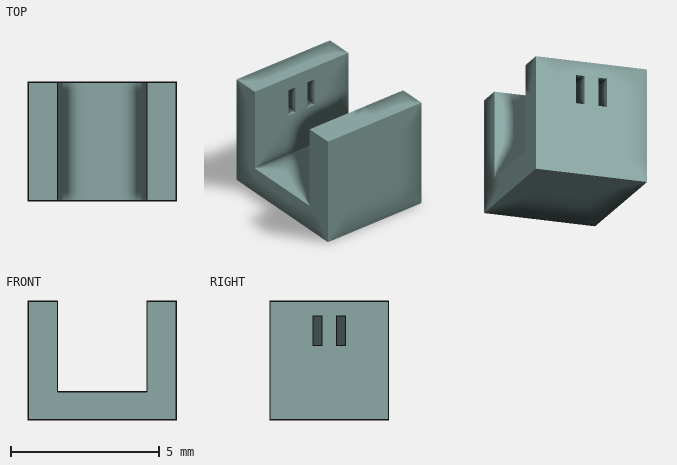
import cadquery as cq

length = 5.0
width = 4.0
height = 4.0

wall_thickness = 1.0
floor_thickness = 0.95

slot_width = 0.3
slot_height = 1.0
slot_spacing = 0.8
slot_top_margin = 0.5


def channel_body():
    """U-shaped body: a block with an open-topped channel along Y."""
    block = cq.Workplane("XY").box(length, width, height, centered=(True, True, False))
    channel = (
        cq.Workplane("XY")
        .workplane(offset=floor_thickness)
        .rect(length - 2 * wall_thickness, width)
        .extrude(height - floor_thickness)
    )
    return block.cut(channel)


def wall_slots():
    """Two narrow slots, side by side about the middle of the +X wall."""
    slot_center_z = height - slot_top_margin - slot_height / 2
    slot_centers = [
        (-slot_spacing / 2, slot_center_z),
        (slot_spacing / 2, slot_center_z),
    ]
    return (
        cq.Workplane("YZ")
        .workplane(offset=length / 2 - wall_thickness)
        .pushPoints(slot_centers)
        .rect(slot_width, slot_height)
        .extrude(wall_thickness)
    )


result = channel_body().cut(wall_slots())